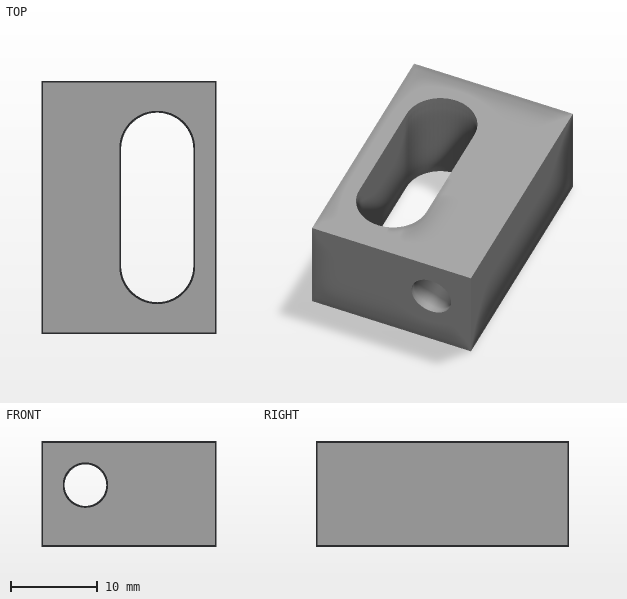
import cadquery as cq

width = 20.0
length = 29.0
height = 12.0

hole_diameter = 5.0
hole_x = hole_diameter
hole_z = height - hole_diameter

slot_length = 22.0
slot_width = 8.5
slot_x = 13.25

block = cq.Workplane("XY").box(width, length, height, centered=False)

hole = (
    cq.Workplane("XZ")
    .center(hole_x, hole_z)
    .circle(hole_diameter / 2)
    .extrude(-length)
)

slot = (
    cq.Workplane("XY")
    .center(slot_x, length / 2)
    .slot2D(slot_length, slot_width, angle=90)
    .extrude(height)
)

result = block.cut(hole).cut(slot)